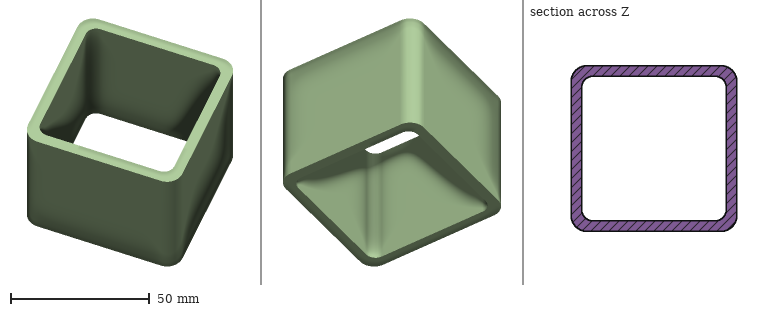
import cadquery as cq

side = 60.0
height = 50.0
wall = 4.0
outer_corner_radius = 6.0
inner_corner_radius = 4.0


def rounded_square_prism(width, corner_radius):
    """Upright square prism with rounded vertical edges, standing on Z = 0."""
    block = cq.Workplane("XY").rect(width, width).extrude(height)
    return block.edges("|Z").fillet(corner_radius)


outer_body = rounded_square_prism(side, outer_corner_radius)
bore = rounded_square_prism(side - 2 * wall, inner_corner_radius)

result = outer_body.cut(bore)